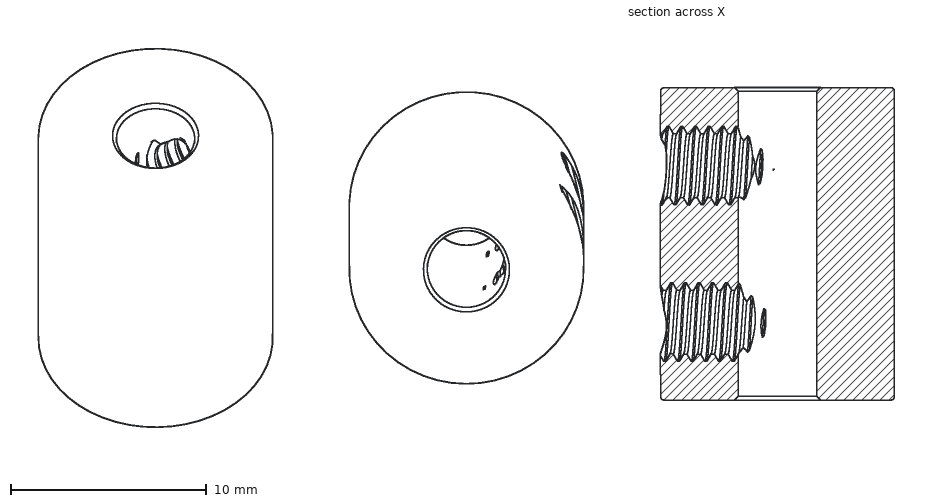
import cadquery as cq
import math

outer_diameter = 12.0
length = 16.0
bore_diameter = 4.0
outer_edge_radius = 0.2
bore_chamfer = 0.2
cross_hole_inset = 4.0

thread_major_diameter = 4.0
thread_pitch = 0.7
thread_flank_angle = 60.0
thread_triangle_height = thread_pitch / 2 / math.tan(math.radians(thread_flank_angle / 2))
thread_depth = 5 / 8 * thread_triangle_height
thread_crest_width = thread_pitch / 8
root_overlap = 0.05

groove_start_angle = 5.0
upper_groove_start = 0.18
lower_groove_start = 0.0

outer_radius = outer_diameter / 2
half_length = length / 2
thread_major_radius = thread_major_diameter / 2
thread_minor_radius = thread_major_radius - thread_depth
thread_turns = math.ceil(outer_radius / thread_pitch) + 1
hole_height = half_length - cross_hole_inset


def make_body():
    """Solid cylinder centred on the origin along Z, with rounded rims."""
    cylinder = cq.Workplane("XY").cylinder(length, outer_radius)
    return cylinder.edges("%CIRCLE").fillet(outer_edge_radius)


def make_bore():
    """Through bore with a chamfered mouth at each end."""
    bore_radius = bore_diameter / 2
    mouth_radius = bore_radius + bore_chamfer
    chamfer_start = half_length - bore_chamfer
    profile = [
        (0, -half_length),
        (mouth_radius, -half_length),
        (bore_radius, -chamfer_start),
        (bore_radius, chamfer_start),
        (mouth_radius, half_length),
        (0, half_length),
    ]
    return cq.Workplane("XZ").polyline(profile).close().revolve(360, (0, 0, 0), (0, 1, 0))


def make_thread_groove():
    """Right-hand helical groove along +Z, starting on the +X side at the origin."""
    root_radius = thread_minor_radius - root_overlap
    half_crest = thread_crest_width / 2
    flank_run = (thread_major_radius - root_radius) * math.tan(math.radians(thread_flank_angle / 2))
    half_root = half_crest + flank_run
    profile = [
        (root_radius, -half_root),
        (thread_major_radius, -half_crest),
        (thread_major_radius, half_crest),
        (root_radius, half_root),
    ]
    helix = cq.Wire.makeHelix(thread_pitch, thread_turns * thread_pitch, thread_minor_radius)
    return cq.Workplane("XZ").polyline(profile).close().sweep(cq.Workplane(helix), isFrenet=True)


def place_in_wall(tool, height):
    """Turn a tool built along +Z to point along +Y at the given height."""
    return tool.rotate((0, 0, 0), (1, 0, 0), -90).translate((0, 0, height))


def cut_threaded_hole(part, height, groove_start):
    """Cut a threaded radial hole from the bore out through the +Y wall."""
    drilled = cq.Workplane("XY").circle(thread_minor_radius).extrude(outer_radius)
    groove = make_thread_groove().rotate((0, 0, 0), (0, 0, 1), groove_start_angle)
    groove = groove.translate((0, 0, groove_start))
    part = part.cut(place_in_wall(drilled, height))
    return part.cut(place_in_wall(groove, height))


threaded_spacer = make_body().cut(make_bore())
threaded_spacer = cut_threaded_hole(threaded_spacer, hole_height, upper_groove_start)
threaded_spacer = cut_threaded_hole(threaded_spacer, -hole_height, lower_groove_start)
result = threaded_spacer.solids()